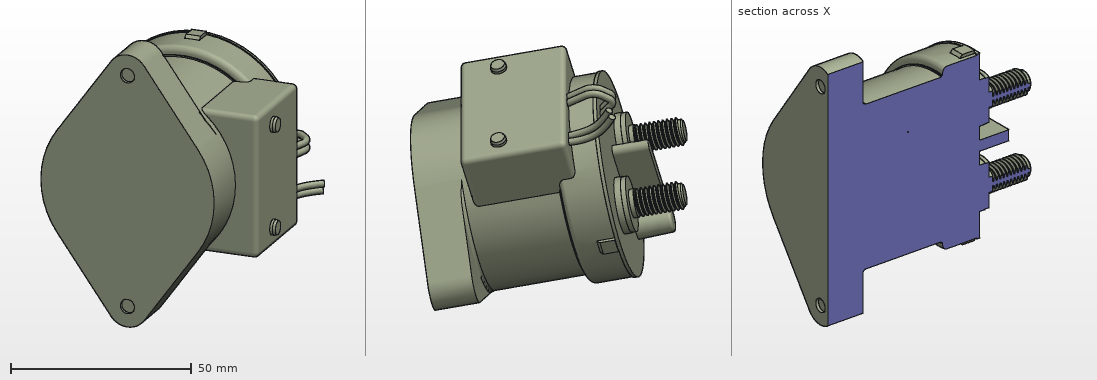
import cadquery as cq
import math


BODY_RADIUS = 26.0
NECK_RADIUS = 26.4
NECK_BOTTOM = 40.15
FLANGE_RADIUS = 28.8
FLANGE_BOTTOM = 40.6
FLANGE_FILLET = 1.75
LIP_RADIUS = 29.1
LIP_BOTTOM = 52.75
COVER_TOP = 53.8

PLATE_THICKNESS = 12.6
PLATE_LENGTH = 80.47
EAR_RADIUS = 6.1
EAR_OFFSET = PLATE_LENGTH / 2 - EAR_RADIUS
MOUNT_HOLE_RADIUS = 2.1
MOUNT_HOLE_DEPTH = 1.0
PLATE_FILLET = 0.85

BOX_HALF_WIDTH = 20.95
BOX_FACE = 32.66
BOX_INNER_FACE = 10.0
BOX_BOTTOM = 15.7
BOX_TOP = 45.8
BOX_FILLET = 1.5

SCREW_HEAD_RADIUS = 2.25
SCREW_HEAD_HEIGHT = 1.6
SCREW_RIM_HEIGHT = 0.8
SCREW_HEAD_TAPER = 20.0
SCREW_OFFSET = 15.2
SCREW_Y = 26.8

STUD_OFFSET = 13.3
STUD_TOP = 72.21
COLLAR_RADIUS = 4.05
COLLAR_TOP = 58.4
BOSS_RADIUS = 8.0
BOSS_STEP_Y = 55.7
BOSS_UPPER_RADIUS = 7.85
BOSS_TOP = 57.1
THREAD_RADIUS = 4.0
THREAD_ROOT_RADIUS = 3.3
THREAD_PITCH = 1.25
THREAD_LENGTH = 13.1
THREAD_BOTTOM = 57.95
THREAD_CREST = 0.15
THREAD_FLANK_ANGLE = 30.0
THREAD_EMBED = 0.15
STUD_TIP_CHAMFER = 0.5

PEG_X = -20.2
PEG_BASE_RADIUS = 3.65
PEG_TOP_RADIUS = 3.25
PEG_TOP = 64.3
PEG_FILLET = 0.9

BARRIER_LENGTH = 20.4
BARRIER_THICKNESS = 3.6
BARRIER_TOP = 64.1

CLIP_WIDTH = 4.4
CLIP_RADIUS = 29.7
CLIP_ROOT = 27.5
CLIP_BOTTOM = 47.6
CLIP_SLOPE = CLIP_RADIUS - FLANGE_RADIUS

WIRE_RADIUS = 1.0
WIRE_SPACING = 2.3
WIRE_EMBED = 1.0
LOOP_START = (22.7, COVER_TOP - WIRE_EMBED)
LOOP_PEAK = (27.65, 58.7)
LOOP_SHOULDER = (32.56, 53.8)
LOOP_END = (29.75, BOX_TOP - WIRE_EMBED)
LOOP_BEND_TANGENTS = (1.75, 2.9)
LEAD_START = (28.2, BOX_TOP - WIRE_EMBED)
LEAD_COURSE = [(28.9, 50.4), (30.0, 53.5), (32.0, 56.2), (34.97, 58.87)]
LEAD_Z = -12.9
LEAD_STAGGER = (-0.5, 0.65)

OVERLAP = 0.5


def turned(outline):
    """Solid of revolution about the Y axis from (radius, height) points."""
    return cq.Workplane("XY").polyline(outline).close().revolve(360, (0, 0), (0, 1))


def make_housing():
    body = cq.Workplane("XZ").circle(BODY_RADIUS).extrude(-COVER_TOP)
    neck = cq.Workplane("XZ", origin=(0, NECK_BOTTOM, 0)).circle(NECK_RADIUS).extrude(NECK_BOTTOM - COVER_TOP)
    flange = (
        cq.Workplane("XZ", origin=(0, FLANGE_BOTTOM, 0))
        .circle(FLANGE_RADIUS)
        .extrude(FLANGE_BOTTOM - COVER_TOP)
        .faces("<Y")
        .edges()
        .fillet(FLANGE_FILLET)
    )
    lip = cq.Workplane("XZ", origin=(0, LIP_BOTTOM, 0)).circle(LIP_RADIUS).extrude(LIP_BOTTOM - COVER_TOP)
    return body.union(neck).union(flange).union(lip)


def plate_prism(height):
    """Rhombic outline: the body circle and two ear circles joined by tangent lines."""
    tilt = math.asin((BODY_RADIUS - EAR_RADIUS) / EAR_OFFSET)
    body_x = BODY_RADIUS * math.cos(tilt)
    body_z = BODY_RADIUS * math.sin(tilt)
    ear_x = EAR_RADIUS * math.cos(tilt)
    ear_z = EAR_OFFSET + EAR_RADIUS * math.sin(tilt)
    ear_tip = EAR_OFFSET + EAR_RADIUS
    return (
        cq.Workplane("XZ")
        .moveTo(body_x, -body_z)
        .threePointArc((BODY_RADIUS, 0), (body_x, body_z))
        .lineTo(ear_x, ear_z)
        .threePointArc((0, ear_tip), (-ear_x, ear_z))
        .lineTo(-body_x, body_z)
        .threePointArc((-BODY_RADIUS, 0), (-body_x, -body_z))
        .lineTo(-ear_x, -ear_z)
        .threePointArc((0, -ear_tip), (ear_x, -ear_z))
        .close()
        .extrude(-height)
    )


def make_plate():
    """Mounting plate with blind holes and a cove where its top meets the body."""
    cove_top = PLATE_THICKNESS + PLATE_FILLET
    cove_edge = BODY_RADIUS + PLATE_FILLET
    cove_depth = PLATE_FILLET * (1 - math.sqrt(0.5))
    inner_radius = BODY_RADIUS - OVERLAP
    cove = (
        cq.Workplane("XY")
        .moveTo(inner_radius, PLATE_THICKNESS - OVERLAP)
        .lineTo(cove_edge, PLATE_THICKNESS - OVERLAP)
        .lineTo(cove_edge, PLATE_THICKNESS)
        .threePointArc((BODY_RADIUS + cove_depth, PLATE_THICKNESS + cove_depth), (BODY_RADIUS, cove_top))
        .lineTo(inner_radius, cove_top)
        .close()
        .revolve(360, (0, 0), (0, 1))
        .intersect(plate_prism(cove_top))
    )
    holes = (
        cq.Workplane("XZ")
        .pushPoints([(0, EAR_OFFSET), (0, -EAR_OFFSET)])
        .circle(MOUNT_HOLE_RADIUS)
        .extrude(-MOUNT_HOLE_DEPTH)
    )
    return plate_prism(PLATE_THICKNESS).union(cove).cut(holes)


def make_side_box():
    length = BOX_FACE - BOX_INNER_FACE
    height = BOX_TOP - BOX_BOTTOM
    box = (
        cq.Workplane("XY", origin=(BOX_INNER_FACE, BOX_BOTTOM, -BOX_HALF_WIDTH))
        .box(length, height, 2 * BOX_HALF_WIDTH, centered=False)
        .edges()
        .fillet(BOX_FILLET)
    )
    for z in (SCREW_OFFSET, -SCREW_OFFSET):
        head = (
            cq.Workplane("YZ", origin=(BOX_FACE - OVERLAP, SCREW_Y, z))
            .circle(SCREW_HEAD_RADIUS)
            .extrude(SCREW_RIM_HEIGHT + OVERLAP)
            .faces(">X")
            .workplane()
            .circle(SCREW_HEAD_RADIUS)
            .extrude(SCREW_HEAD_HEIGHT - SCREW_RIM_HEIGHT, taper=SCREW_HEAD_TAPER)
        )
        box = box.union(head)
    return box


def make_thread():
    """Helical ridge on the stud core, tapering from the root to a narrow crest."""
    inner_radius = THREAD_ROOT_RADIUS - THREAD_EMBED
    flank = (THREAD_RADIUS - inner_radius) * math.tan(math.radians(THREAD_FLANK_ANGLE))
    half_root = flank + THREAD_CREST / 2
    helix = cq.Wire.makeHelix(THREAD_PITCH, THREAD_LENGTH, THREAD_ROOT_RADIUS)
    ridge = (
        cq.Workplane("XZ")
        .moveTo(inner_radius, -half_root)
        .lineTo(THREAD_RADIUS, -THREAD_CREST / 2)
        .lineTo(THREAD_RADIUS, THREAD_CREST / 2)
        .lineTo(inner_radius, half_root)
        .close()
        .sweep(cq.Workplane(obj=helix), isFrenet=True)
    )
    return ridge.rotate((0, 0, 0), (1, 0, 0), -90).translate((0, THREAD_BOTTOM, 0))


def make_stud():
    """Threaded stud standing on a stepped boss, centred on the Y axis."""
    tip_radius = THREAD_ROOT_RADIUS - STUD_TIP_CHAMFER
    base = turned([
        (0, COVER_TOP - OVERLAP),
        (BOSS_RADIUS, COVER_TOP - OVERLAP),
        (BOSS_RADIUS, BOSS_STEP_Y),
        (BOSS_UPPER_RADIUS, BOSS_STEP_Y),
        (BOSS_UPPER_RADIUS, BOSS_TOP),
        (COLLAR_RADIUS, BOSS_TOP),
        (COLLAR_RADIUS, COLLAR_TOP),
        (THREAD_ROOT_RADIUS, COLLAR_TOP),
        (THREAD_ROOT_RADIUS, STUD_TOP - STUD_TIP_CHAMFER),
        (tip_radius, STUD_TOP),
        (0, STUD_TOP),
    ])
    return base.union(make_thread())


def make_peg():
    peg = turned([
        (0, COVER_TOP - OVERLAP),
        (PEG_BASE_RADIUS, COVER_TOP - OVERLAP),
        (PEG_BASE_RADIUS, COVER_TOP),
        (PEG_TOP_RADIUS, PEG_TOP),
        (0, PEG_TOP),
    ])
    return peg.faces(">Y").edges().fillet(PEG_FILLET).translate((PEG_X, 0, 0))


def make_barrier():
    """Round-ended wall standing on the cover between the studs."""
    return (
        cq.Workplane("XZ", origin=(0, COVER_TOP - OVERLAP, 0))
        .slot2D(BARRIER_LENGTH, BARRIER_THICKNESS)
        .extrude(COVER_TOP - OVERLAP - BARRIER_TOP)
    )


def make_clip():
    """Rim clip on the +Z side, its lower end sloping back to the flange."""
    return (
        cq.Workplane("YZ")
        .polyline([
            (CLIP_BOTTOM, CLIP_ROOT),
            (CLIP_BOTTOM, FLANGE_RADIUS),
            (CLIP_BOTTOM + CLIP_SLOPE, CLIP_RADIUS),
            (LIP_BOTTOM, CLIP_RADIUS),
            (LIP_BOTTOM, CLIP_ROOT),
        ])
        .close()
        .extrude(CLIP_WIDTH / 2, both=True)
    )


def sweep_wire(path, z, start_point, start_direction):
    """Round wire along a path lying in a plane of constant z."""
    start = cq.Plane(origin=(*start_point, z), xDir=(0, 0, 1), normal=(*start_direction, 0))
    return cq.Workplane(start).circle(WIRE_RADIUS).sweep(path)


def point_towards(start, target, distance):
    """Point at a distance from start on the line to target."""
    fraction = distance / math.dist(start, target)
    return tuple(a + (b - a) * fraction for a, b in zip(start, target))


def make_loop(z):
    """Wire rising from the cover, bending over and running down into the box."""
    bends = [LOOP_START, LOOP_PEAK, LOOP_SHOULDER, LOOP_END]
    path = cq.Workplane("XY", origin=(0, 0, z)).moveTo(*LOOP_START)
    for before, corner, after, tangent in zip(bends, bends[1:], bends[2:], LOOP_BEND_TANGENTS):
        path = path.lineTo(*point_towards(corner, before, tangent))
        path = path.tangentArcPoint(point_towards(corner, after, tangent), relative=False)
    path = path.lineTo(*LOOP_END)
    rise = (LOOP_PEAK[0] - LOOP_START[0], LOOP_PEAK[1] - LOOP_START[1])
    return sweep_wire(path, z, LOOP_START, rise)


def make_lead(z, stagger):
    """Loose wire rising from the box, its free part shifted by stagger."""
    shift_x, shift_y = stagger
    points = [LEAD_START] + [(x + shift_x, y + shift_y) for x, y in LEAD_COURSE]
    path = cq.Workplane("XY", origin=(0, 0, z)).spline(points)
    rise = (points[1][0] - points[0][0], points[1][1] - points[0][1])
    return sweep_wire(path, z, LEAD_START, rise)


part = make_housing().union(make_plate()).union(make_side_box())
part = part.union(make_peg()).union(make_barrier())
part = part.union(make_lead(LEAD_Z, (0, 0)))
part = part.union(make_lead(LEAD_Z - WIRE_SPACING, LEAD_STAGGER))
stud = make_stud()
clip = make_clip()
for side in (1, -1):
    part = part.union(stud.translate((0, 0, side * STUD_OFFSET)))
    part = part.union(clip if side > 0 else clip.mirror("XY"))
    part = part.union(make_loop(side * WIRE_SPACING / 2))

result = part